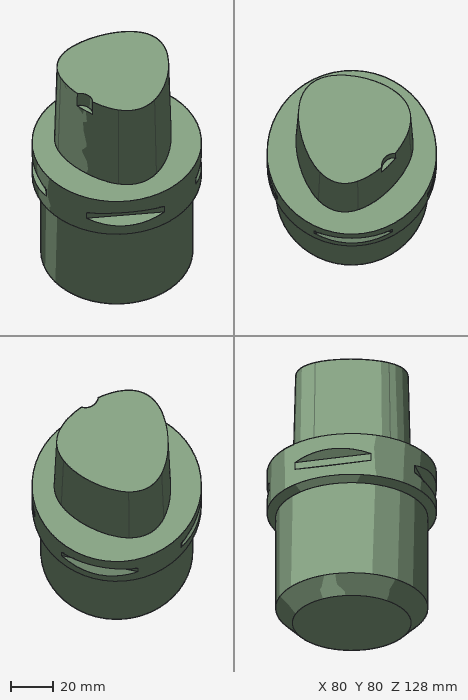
import cadquery as cq
import math

TOTAL_HEIGHT = 128.0
SHANK_HEIGHT = 48.0
FLANGE_TOP = TOTAL_HEIGHT - SHANK_HEIGHT
FLANGE_DIAMETER = 80.0
BODY_DIAMETER = 72.0
BODY_TOP = 56.0
END_CHAMFER = 8.0
FLANGE_BEVEL_ANGLE = 30.0

SHANK_BASE_RADIUS = 27.5
SHANK_TAPER = 1 / 20
LOBE_RISE = 2.0
LOBE_COUNT = 3
LOBE_HALF_ANGLE = 24.0
POINTS_PER_FACE = 9

NOTCH_RADIUS = 6.0
NOTCH_CENTER_Y = -27.9
NOTCH_DEPTH = 8.0

POCKET_COUNT = 4
POCKET_FIRST_ANGLE = 45.0
POCKET_FLOOR_DISTANCE = 35.5
POCKET_FLOOR_HEIGHT = 3.6
POCKET_CENTER_Z = 68.1
POCKET_WALL_ANGLE = 30.0


def make_body():
    """Turned body with a chamfered end and a flange beveled underneath."""
    flange_radius = FLANGE_DIAMETER / 2
    body_radius = BODY_DIAMETER / 2
    bevel_height = (flange_radius - body_radius) * math.tan(math.radians(FLANGE_BEVEL_ANGLE))
    profile = (
        cq.Workplane("XZ")
        .moveTo(0, 0)
        .lineTo(body_radius - END_CHAMFER, 0)
        .lineTo(body_radius, END_CHAMFER)
        .lineTo(body_radius, BODY_TOP)
        .lineTo(flange_radius, BODY_TOP + bevel_height)
        .lineTo(flange_radius, FLANGE_TOP)
        .lineTo(0, FLANGE_TOP)
        .close()
    )
    return profile.revolve(360, (0, 0, 0), (0, 1, 0))


def lobed_curve(angle, mean_radius, z):
    """Point and tangent of the trochoid with one lobe pointing to +Y."""
    lobe_turn = math.pi / 2
    second = (LOBE_COUNT - 1) * (angle - lobe_turn) - lobe_turn
    point = cq.Vector(
        mean_radius * math.cos(angle) + LOBE_RISE * math.cos(second),
        mean_radius * math.sin(angle) - LOBE_RISE * math.sin(second),
        z,
    )
    second_rate = LOBE_RISE * (LOBE_COUNT - 1)
    tangent = cq.Vector(
        -mean_radius * math.sin(angle) - second_rate * math.sin(second),
        mean_radius * math.cos(angle) - second_rate * math.cos(second),
        0,
    )
    return point, tangent


def lobed_edge(start_degrees, end_degrees, mean_radius, z):
    """Smooth stretch of the lobed outline between two curve angles."""
    step = (end_degrees - start_degrees) / (POINTS_PER_FACE - 1)
    angles = [math.radians(start_degrees + i * step) for i in range(POINTS_PER_FACE)]
    samples = [lobed_curve(angle, mean_radius, z) for angle in angles]
    points = [point for point, _ in samples]
    end_tangents = [samples[0][1], samples[-1][1]]
    return cq.Edge.makeSpline(points, tangents=end_tangents)


def lobed_wire(mean_radius, z):
    """Closed outline: a lobe stretch and a flatter stretch, three times over."""
    spacing = 360 / LOBE_COUNT
    edges = []
    for i in range(LOBE_COUNT):
        tip = 90 + i * spacing
        lobe_start = tip - LOBE_HALF_ANGLE
        lobe_end = tip + LOBE_HALF_ANGLE
        edges.append(lobed_edge(lobe_start, lobe_end, mean_radius, z))
        edges.append(lobed_edge(lobe_end, lobe_start + spacing, mean_radius, z))
    return cq.Wire.assembleEdges(edges)


def make_shank():
    top_radius = SHANK_BASE_RADIUS - SHANK_HEIGHT * SHANK_TAPER / 2
    base = lobed_wire(SHANK_BASE_RADIUS, FLANGE_TOP)
    top = lobed_wire(top_radius, TOTAL_HEIGHT)
    return cq.Workplane(obj=cq.Solid.makeLoft([base, top], True))


def make_notch():
    return (
        cq.Workplane("XY", origin=(0, NOTCH_CENTER_Y, TOTAL_HEIGHT - NOTCH_DEPTH))
        .circle(NOTCH_RADIUS)
        .extrude(NOTCH_DEPTH)
    )


def make_pocket(angle):
    """Cutter for one pocket, widening outward from its flat floor."""
    outer_distance = FLANGE_DIAMETER / 2 + 1.3
    flare = (outer_distance - POCKET_FLOOR_DISTANCE) * math.tan(math.radians(POCKET_WALL_ANGLE))
    half_floor = POCKET_FLOOR_HEIGHT / 2
    half_mouth = half_floor + flare
    return (
        cq.Workplane("XZ")
        .polyline([
            (POCKET_FLOOR_DISTANCE, POCKET_CENTER_Z - half_floor),
            (outer_distance, POCKET_CENTER_Z - half_mouth),
            (outer_distance, POCKET_CENTER_Z + half_mouth),
            (POCKET_FLOOR_DISTANCE, POCKET_CENTER_Z + half_floor),
        ])
        .close()
        .extrude(FLANGE_DIAMETER / 2, both=True)
        .rotate((0, 0, 0), (0, 0, 1), angle)
    )


result = make_body().union(make_shank()).cut(make_notch())
for pocket_index in range(POCKET_COUNT):
    result = result.cut(make_pocket(POCKET_FIRST_ANGLE + pocket_index * 360 / POCKET_COUNT))